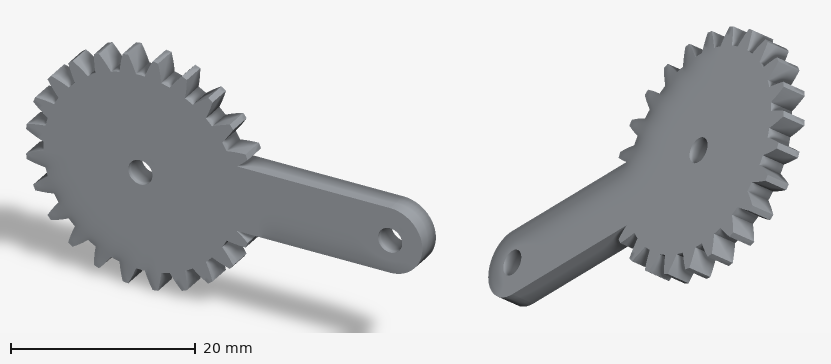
import cadquery as cq
import math

thickness = 3.0
hole_diameter = 3.0

tooth_count = 24
tip_radius = 14.25
root_radius = 12.05
tip_half_width = 0.35
middle_half_width = 0.75
root_half_width = 1.05
tooth_pitch = 360 / tooth_count
first_tooth_angle = tooth_pitch / 2

overall_length = 49.15
arm_width = 8.0
arm_end_radius = arm_width / 2
tip_corner_radial = math.sqrt(tip_radius**2 - tip_half_width**2)
tip_corner_angle = math.radians(first_tooth_angle) - math.atan2(tip_half_width, tip_corner_radial)
gear_reach = tip_radius * math.cos(tip_corner_angle)
arm_hole_x = overall_length - gear_reach - arm_end_radius


def plate():
    """Workplane on the front face; extruding backwards fills the thickness along Y."""
    return cq.Workplane("XZ", origin=(0, -thickness / 2, 0))


def make_tooth():
    """One tooth along +X with bowed flanks, its base sunk into the gear disc."""
    root_radial = math.sqrt(root_radius**2 - root_half_width**2)
    middle_radial = (root_radial + tip_corner_radial) / 2
    return (
        plate()
        .moveTo(root_radial, -root_half_width)
        .threePointArc((middle_radial, -middle_half_width), (tip_corner_radial, -tip_half_width))
        .threePointArc((tip_radius, 0), (tip_corner_radial, tip_half_width))
        .threePointArc((middle_radial, middle_half_width), (root_radial, root_half_width))
        .lineTo(root_radius / 2, root_half_width)
        .lineTo(root_radius / 2, -root_half_width)
        .close()
        .extrude(-thickness)
    )


def make_gear():
    gear = plate().circle(root_radius).extrude(-thickness)
    tooth = make_tooth()
    for index in range(tooth_count):
        angle = first_tooth_angle + index * tooth_pitch
        gear = gear.union(tooth.rotate((0, 0, 0), (0, 1, 0), angle))
    return gear


def make_arm():
    return (
        plate()
        .moveTo(0, -arm_end_radius)
        .lineTo(arm_hole_x, -arm_end_radius)
        .threePointArc((arm_hole_x + arm_end_radius, 0), (arm_hole_x, arm_end_radius))
        .lineTo(0, arm_end_radius)
        .close()
        .extrude(-thickness)
    )


holes = plate().pushPoints([(0, 0), (arm_hole_x, 0)]).circle(hole_diameter / 2).extrude(-thickness)

result = make_gear().union(make_arm()).cut(holes)